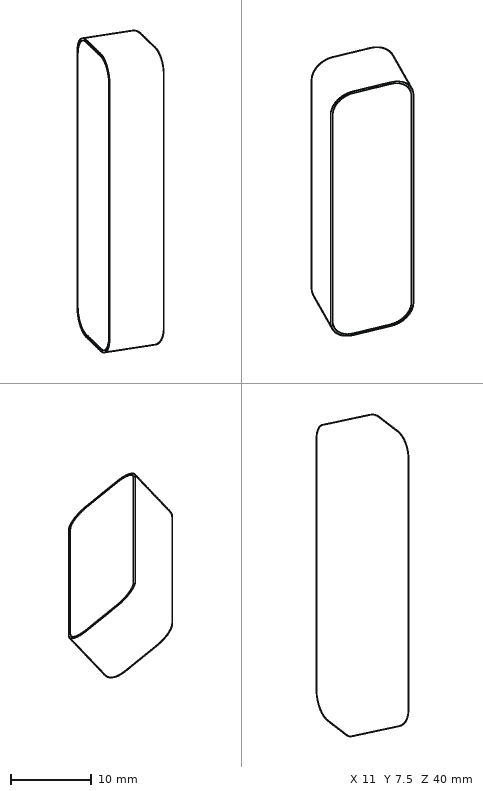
import cadquery as cq

width = 11.0
depth = 7.5
height = 40.0
corner_radius = 3.0

wall = 0.3
floor_edge_radius = 0.8


def rounded_block(inset, length):
    """Rounded rectangular block, inset from the tray outline, running from the mouth plane along +Y."""
    block = cq.Workplane("XZ").rect(width - 2 * inset, height - 2 * inset).extrude(-length)
    block = block.edges("|Y").fillet(corner_radius - inset)
    return block.faces(">Y").edges().fillet(floor_edge_radius - inset)


outer_body = rounded_block(0, depth)
cavity = rounded_block(wall, depth - wall)

result = outer_body.cut(cavity)